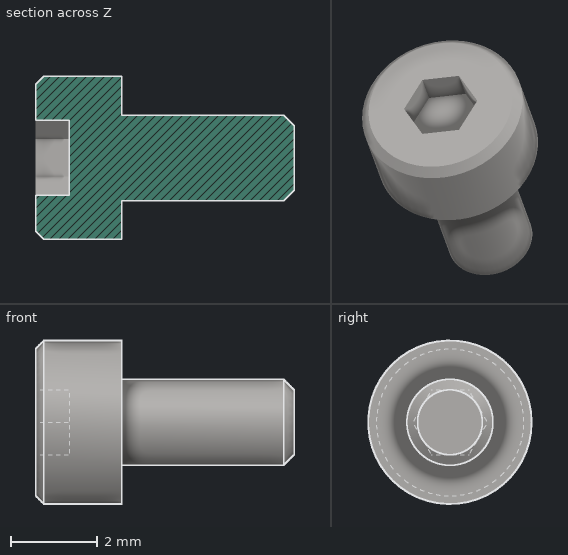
import cadquery as cq
import math

total_length = 6.0
head_diameter = 3.8
head_length = 2.0
head_chamfer = 0.19
shank_diameter = 2.0
tip_chamfer = 0.245
socket_across_flats = 1.5
socket_depth = 0.775


def make_head():
    """Cylindrical head with a chamfered outer rim."""
    head = cq.Workplane("YZ").circle(head_diameter / 2).extrude(head_length)
    return head.faces("<X").chamfer(head_chamfer)


def make_shank():
    """Plain shank behind the head, with a chamfered tip."""
    shank = (
        cq.Workplane("YZ", origin=(head_length, 0, 0))
        .circle(shank_diameter / 2)
        .extrude(total_length - head_length)
    )
    return shank.faces(">X").chamfer(tip_chamfer)


def make_socket():
    """Flat-bottomed hexagonal recess with two corners along Y."""
    across_corners = socket_across_flats / math.cos(math.pi / 6)
    return cq.Workplane("YZ").polygon(6, across_corners).extrude(socket_depth)


result = make_head().union(make_shank()).cut(make_socket())